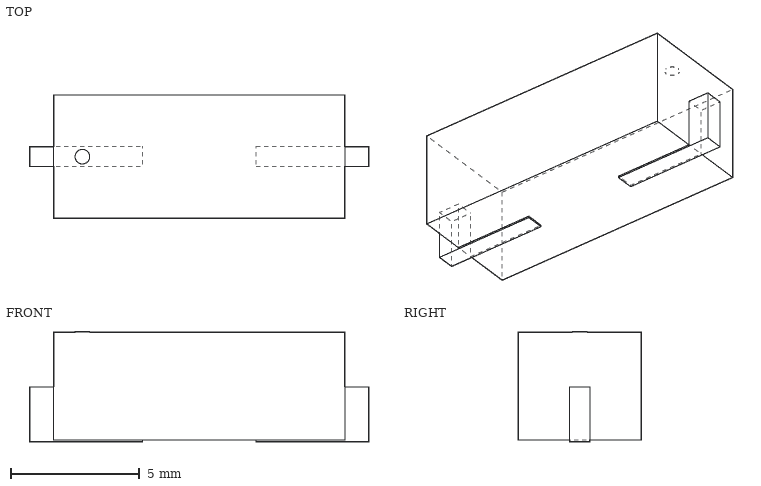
import cadquery as cq

overall_length = 13.2
overall_height = 4.29

housing_length = 11.34
housing_width = 4.8
standoff = 0.07

mark_diameter = 0.57
mark_thickness = 0.03
mark_from_end = 1.12

lead_width = 0.78
lead_height = 2.14
foot_length = 4.4

housing_height = overall_height - standoff - mark_thickness
housing_top = standoff + housing_height
housing_end = housing_length / 2
lead_end = overall_length / 2
foot_tip = lead_end - foot_length


def make_housing():
    """Plain rectangular block raised above the seating plane."""
    return (
        cq.Workplane("XY", origin=(0, 0, standoff))
        .rect(housing_length, housing_width)
        .extrude(housing_height)
    )


def make_polarity_mark():
    """Thin disc lying on the housing top near its -X end."""
    mark_x = -housing_end + mark_from_end
    return (
        cq.Workplane("XY", origin=(mark_x, 0, housing_top))
        .circle(mark_diameter / 2)
        .extrude(mark_thickness)
    )


def make_lead(side):
    """Upright against one housing end with a thin foot under it; side is -1 or +1."""
    profile = [
        (side * lead_end, 0),
        (side * lead_end, lead_height),
        (side * housing_end, lead_height),
        (side * housing_end, standoff),
        (side * foot_tip, standoff),
        (side * foot_tip, 0),
    ]
    return cq.Workplane("XZ").polyline(profile).close().extrude(lead_width / 2, both=True)


housing = make_housing()
polarity_mark = make_polarity_mark()
leads = [make_lead(side) for side in (-1, 1)]

result = cq.Compound.makeCompound(
    [housing.val(), polarity_mark.val(), *[lead.val() for lead in leads]]
)